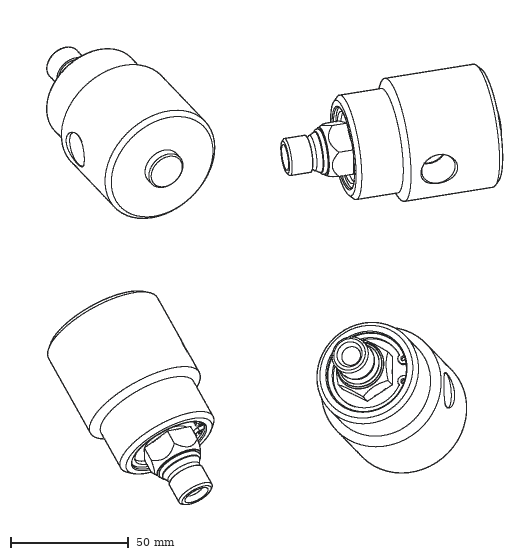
import cadquery as cq
import math


housing_dia = 53.0
collar_dia = 45.0
collar_face_x = 25.6
shoulder_x = 45.8
housing_end_x = 89.1
edge_chamfer = 2.0
shoulder_angle = 60.0

boss_dia = 16.5
boss_end_x = 93.2
boss_chamfer = 0.7

recess_dia = 35.0
recess_edge_chamfer = 0.5
recess_floor_x = 28.8

port_x = 60.6
port_dia = 14.7
port_depth = 15.8
port_end_dia = 13.9
port_mouth_dia = 16.2
port_mouth_angle = 30.0

neck_dia = 20.7
hexagon_flats = 22.0
hexagon_back_x = 27.1
hexagon_cone_x = 16.3
hexagon_cone_radius = 10.2
hexagon_cone_angle = 30.0
thread_dia = 16.0
thread_end_x = 10.0
tip_chamfer_length = 0.9
tip_radius = 7.0
groove_radius = 7.1
groove_start_x = 10.25
groove_start_radius = 7.4
groove_middle_x = 11.0
groove_end_x = 11.9
groove_end_radius = 7.6
seal_cone_x = 12.9
seal_cone_radius = 8.0
seal_cone_end_x = 14.3
seal_cone_end_radius = 8.85
bead_section_dia = 1.9
bead_center_x = 15.6
bead_center_radius = 8.85
nozzle_bore_dia = 8.3
nozzle_mouth_dia = 11.1
nozzle_mouth_angle = 30.0

ring_thickness = 1.7
ring_inner_dia = 31.1
ring_outer_dia = 36.9
lug_radius = 2.3
lug_hole_dia = 2.0
lug_y = -15.7
lug_z = 5.0


def revolve_about_x(profile):
    """Turn a closed profile drawn as (x, radius) a full turn about the X axis."""
    return profile.close().revolve(360, (0, 0, 0), (1, 0, 0))


def rod(diameter, start_x, end_x):
    """Cylinder along the X axis."""
    return cq.Workplane("YZ", origin=(start_x, 0, 0)).circle(diameter / 2).extrude(end_x - start_x)


def make_housing_shell():
    """Stepped outside of the housing with its chamfers and rear boss."""
    housing_radius = housing_dia / 2
    collar_radius = collar_dia / 2
    boss_radius = boss_dia / 2
    shoulder_length = (housing_radius - collar_radius) / math.tan(math.radians(shoulder_angle))
    return revolve_about_x(
        cq.Workplane("XY")
        .moveTo(collar_face_x, 0)
        .lineTo(collar_face_x, collar_radius - edge_chamfer)
        .lineTo(collar_face_x + edge_chamfer, collar_radius)
        .lineTo(shoulder_x, collar_radius)
        .lineTo(shoulder_x + shoulder_length, housing_radius)
        .lineTo(housing_end_x - edge_chamfer, housing_radius)
        .lineTo(housing_end_x, housing_radius - edge_chamfer)
        .lineTo(housing_end_x, boss_radius)
        .lineTo(boss_end_x - boss_chamfer, boss_radius)
        .lineTo(boss_end_x, boss_radius - boss_chamfer)
        .lineTo(boss_end_x, 0)
    )


def make_recess():
    """Round recess with a chamfered edge and a groove that fits the snap ring."""
    recess_radius = recess_dia / 2
    groove_radius_outside = ring_outer_dia / 2
    ring_front_x = recess_floor_x - ring_thickness
    return revolve_about_x(
        cq.Workplane("XY")
        .moveTo(collar_face_x, 0)
        .lineTo(collar_face_x, recess_radius + recess_edge_chamfer)
        .lineTo(collar_face_x + recess_edge_chamfer, recess_radius)
        .lineTo(ring_front_x, recess_radius)
        .lineTo(ring_front_x, groove_radius_outside)
        .lineTo(recess_floor_x, groove_radius_outside)
        .lineTo(recess_floor_x, 0)
    )


def make_port():
    """Stepped side port from the -Y side with a conical mouth, ending on the round core."""
    housing_radius = housing_dia / 2
    port_radius = port_dia / 2
    end_radius = port_end_dia / 2
    mouth_radius = port_mouth_dia / 2
    mouth_depth = (mouth_radius - port_radius) / math.tan(math.radians(port_mouth_angle))
    step_y = port_depth - housing_radius
    drill = (
        cq.Workplane("XY")
        .moveTo(port_x, 0)
        .lineTo(port_x + end_radius, 0)
        .lineTo(port_x + end_radius, step_y)
        .lineTo(port_x + port_radius, step_y)
        .lineTo(port_x + port_radius, mouth_depth - housing_radius)
        .lineTo(port_x + mouth_radius, -housing_radius)
        .lineTo(port_x, -housing_radius)
        .close()
        .revolve(360, (port_x, 0, 0), (port_x, 1, 0))
    )
    return drill.cut(rod(boss_dia, shoulder_x, housing_end_x))


def make_nozzle():
    """Threaded tip, groove, sealing cone and bead in front of the hexagon, and the neck behind it."""
    thread_radius = thread_dia / 2
    bead_radius = bead_section_dia / 2
    bead_diagonal = bead_radius * math.sqrt(0.5)
    bead_middle = (bead_center_x - bead_diagonal, bead_center_radius + bead_diagonal)
    bead_end_radius = bead_center_radius + math.sqrt(bead_radius**2 - (hexagon_cone_x - bead_center_x) ** 2)
    tip = revolve_about_x(
        cq.Workplane("XY")
        .lineTo(0, tip_radius)
        .lineTo(tip_chamfer_length, thread_radius)
        .lineTo(thread_end_x, thread_radius)
        .lineTo(groove_start_x, groove_start_radius)
        .threePointArc((groove_middle_x, groove_radius), (groove_end_x, groove_end_radius))
        .lineTo(seal_cone_x, seal_cone_radius)
        .lineTo(seal_cone_end_x, seal_cone_end_radius)
        .lineTo(bead_center_x - bead_radius, bead_center_radius)
        .threePointArc(bead_middle, (hexagon_cone_x, bead_end_radius))
        .lineTo(hexagon_cone_x, 0)
    )
    neck = rod(neck_dia, hexagon_cone_x, recess_floor_x)
    return tip.union(make_hexagon()).union(neck).cut(make_nozzle_bore())


def make_hexagon():
    """Hexagon with corners on the Z axis, its front turned to a cone."""
    corner_dia = hexagon_flats / math.cos(math.radians(30))
    length = hexagon_back_x - hexagon_cone_x
    prism = (
        cq.Workplane("YZ", origin=(hexagon_cone_x, 0, 0))
        .transformed(rotate=(0, 0, 90))
        .polygon(6, corner_dia)
        .extrude(length)
    )
    cone_back_radius = hexagon_cone_radius + length * math.tan(math.radians(hexagon_cone_angle))
    cone = revolve_about_x(
        cq.Workplane("XY")
        .moveTo(hexagon_cone_x, 0)
        .lineTo(hexagon_cone_x, hexagon_cone_radius)
        .lineTo(hexagon_back_x, cone_back_radius)
        .lineTo(hexagon_back_x, 0)
    )
    return prism.intersect(cone)


def make_nozzle_bore():
    """Blind bore with a conical mouth, ending level with the back of the hexagon."""
    bore_radius = nozzle_bore_dia / 2
    mouth_radius = nozzle_mouth_dia / 2
    mouth_depth = (mouth_radius - bore_radius) / math.tan(math.radians(nozzle_mouth_angle))
    return revolve_about_x(
        cq.Workplane("XY")
        .lineTo(0, mouth_radius)
        .lineTo(mouth_depth, bore_radius)
        .lineTo(hexagon_back_x, bore_radius)
        .lineTo(hexagon_back_x, 0)
    )


def make_housing():
    """Housing with its recess, side port and fixed nozzle."""
    return make_housing_shell().cut(make_recess()).cut(make_port()).union(make_nozzle())


def make_snap_ring():
    """Open ring in the recess groove, with a drilled lug on each side of the gap."""
    start_x = recess_floor_x - ring_thickness
    ring_radius = ring_outer_dia / 2
    plane = cq.Workplane("YZ", origin=(start_x, 0, 0))
    band = plane.circle(ring_radius).circle(ring_inner_dia / 2).extrude(ring_thickness)
    lug_places = [(lug_y, -lug_z), (lug_y, lug_z)]
    lugs = plane.pushPoints(lug_places).circle(lug_radius).extrude(ring_thickness)
    holes = plane.pushPoints(lug_places).circle(lug_hole_dia / 2).extrude(ring_thickness)
    gap_width = 2 * (lug_z - lug_radius)
    gap = plane.center(-ring_radius, 0).rect(ring_radius, gap_width).extrude(ring_thickness)
    disc = rod(ring_outer_dia, start_x, recess_floor_x)
    return band.union(lugs).intersect(disc).cut(gap).cut(holes)


housing = make_housing()
snap_ring = make_snap_ring()

result = cq.Compound.makeCompound([housing.val(), snap_ring.val()])